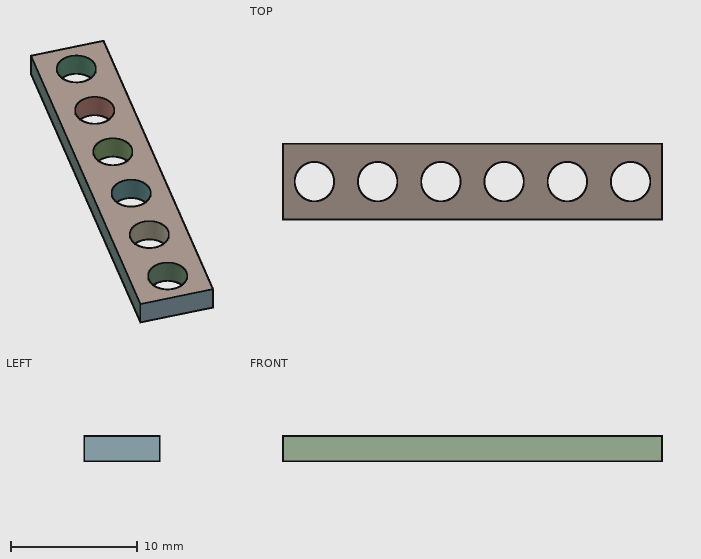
import cadquery as cq

hole_count = 6
hole_pitch = 5.0
bar_length = hole_count * hole_pitch
bar_width = 6.0
bar_thickness = 2.0

hole_diameter = 3.1


def make_bar():
    """Plain rectangular bar centred on the origin."""
    return cq.Workplane("XY").box(bar_length, bar_width, bar_thickness)


def drill_hole_row(bar):
    """Evenly spaced through holes along the centreline of the bar."""
    return (
        bar.faces(">Z")
        .workplane()
        .rarray(hole_pitch, bar_width, hole_count, 1)
        .hole(hole_diameter)
    )


result = drill_hole_row(make_bar())